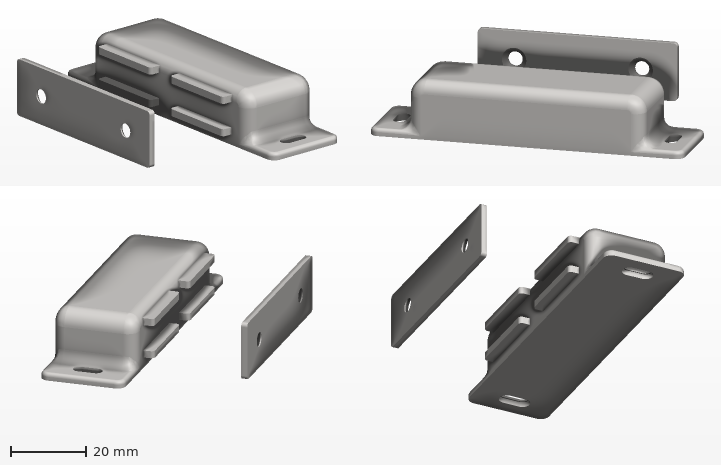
import cadquery as cq

flange_length = 86.5
housing_depth = 23.5
housing_height = 16.0
flange_thickness = 2.1
flange_corner_radius = 2.4
flange_edge_radius = 1.0
block_length = 65.05
block_end_radius = 4.5
block_face_radius = 3.5
foot_radius = 3.0

slot_spacing = 75.0
slot_length = 8.1
slot_width = 3.5

cover_inset = 1.7
cover_thickness = 1.5
cover_corner_radius = 0.7
cover_slot_clearance = 0.35

strip_length = 22.0
strip_thickness = 2.0
strip_protrusion = 2.9
strip_insertion = 3.5
strip_corner_radius = 1.0
strip_spacing_x = 30.0
strip_spacing_z = 9.2

plate_length = 55.0
plate_height = 16.0
plate_thickness = 1.7
plate_corner_radius = 1.0
plate_hole_diameter = 4.0
plate_hole_spacing = 34.95
countersink_diameter = 6.75
countersink_angle = 90
plate_bottom = 0.5
overall_depth = 53.1

select_margin = 0.1

front_y = -housing_depth / 2
center_z = plate_bottom + plate_height / 2


def make_block():
    """Raised block with rounded upper ends, its front and back faces rounded all around."""
    block = cq.Workplane("XY").box(
        block_length, housing_depth, housing_height, centered=(True, True, False)
    )
    block = block.edges("|Y and >Z").fillet(block_end_radius)
    return block.faces("<Y or >Y").edges("not <Z").fillet(block_face_radius)


def make_flange():
    """Base flange with rounded corners and a rounded upper rim."""
    flange = cq.Workplane("XY").box(
        flange_length, housing_depth, flange_thickness, centered=(True, True, False)
    )
    flange = flange.edges("|Z").fillet(flange_corner_radius)
    return flange.faces(">Z").edges().fillet(flange_edge_radius)


def blend_block_foot(body):
    """Round the inner corners where the block ends rise from the flange."""
    foot_zone = cq.selectors.BoxSelector(
        (-block_length / 2 - select_margin, -housing_depth / 2, flange_thickness - select_margin),
        (block_length / 2 + select_margin, housing_depth / 2, flange_thickness + select_margin),
    )
    return body.edges("|Y").edges(foot_zone).fillet(foot_radius)


def make_slots(clearance, height):
    """Upright slot cutters, one in each flange ear, widened all around by the clearance."""
    return (
        cq.Workplane("XY")
        .pushPoints([(-slot_spacing / 2, 0), (slot_spacing / 2, 0)])
        .slot2D(slot_length + 2 * clearance, slot_width + 2 * clearance, 90)
        .extrude(height)
    )


def make_cover_blank():
    """Cover outline as a plain plate, also the shape of its recess."""
    blank = cq.Workplane("XY").box(
        flange_length - 2 * cover_inset, housing_depth - 2 * cover_inset, cover_thickness,
        centered=(True, True, False),
    )
    return blank.edges("|Z").fillet(cover_corner_radius)


def make_cover():
    """Base cover with clearance slots below the flange slots."""
    return make_cover_blank().cut(make_slots(cover_slot_clearance, cover_thickness))


def make_strip(center_x, strip_z):
    """Pole strip set into the housing, with rounded front corners."""
    strip = cq.Workplane("XY").box(
        strip_length, strip_protrusion + strip_insertion, strip_thickness,
        centered=(True, False, True),
    )
    strip = strip.edges("|Z and <Y").fillet(strip_corner_radius)
    return strip.translate((center_x, front_y - strip_protrusion, strip_z))


def make_housing(strips):
    """One-piece housing with fitting recesses for the base cover and every pole strip."""
    body = blend_block_foot(make_block().union(make_flange()))
    body = body.cut(make_cover_blank()).cut(make_slots(0, flange_thickness + foot_radius))
    for strip in strips:
        body = body.cut(strip)
    return body


def make_strike_plate():
    """Flat plate standing in front of the pole strips, its holes countersunk from behind."""
    plate = cq.Workplane("XY").box(
        plate_length, plate_thickness, plate_height, centered=(True, False, True)
    )
    plate = plate.edges("|Y").fillet(plate_corner_radius)
    plate = (
        plate.faces(">Y").workplane(centerOption="CenterOfBoundBox")
        .pushPoints([(-plate_hole_spacing / 2, 0), (plate_hole_spacing / 2, 0)])
        .cskHole(plate_hole_diameter, countersink_diameter, countersink_angle)
    )
    plate_front_y = housing_depth / 2 - overall_depth
    return plate.translate((0, plate_front_y, center_z))


strips = [
    make_strip(side * strip_spacing_x / 2, center_z + level * strip_spacing_z / 2)
    for side in (-1, 1)
    for level in (-1, 1)
]
housing = make_housing(strips)
cover = make_cover()
strike_plate = make_strike_plate()

result = cq.Compound.makeCompound(
    [housing.val(), cover.val(), strike_plate.val(), *[strip.val() for strip in strips]]
)